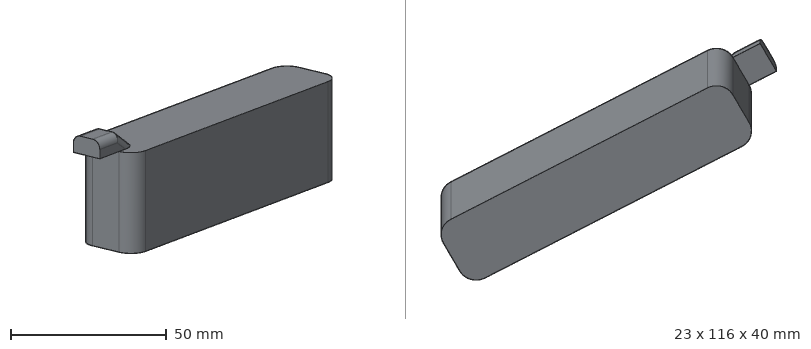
import cadquery as cq

total_length = 116.0
total_height = 40.0
body_width = 23.0

tab_height = 6.0
tab_overhang = 10.0
ramp_run = 8.0
tab_edge_radius = 2.9

corner_radius = 6.0
body_length = total_length - tab_overhang
body_height = total_height - tab_height
tab_width = body_width - 2 * corner_radius


def make_body():
    """Block with its front end at Y = 0 and rounded vertical corners."""
    return (
        cq.Workplane("XY")
        .box(body_width, body_length, body_height, centered=(True, False, False))
        .edges("|Z")
        .fillet(corner_radius)
    )


def make_tab():
    """Ramped tab, with both long upper edges rounded along the flat and the ramp."""
    side_outline = [
        (-tab_overhang, body_height),
        (ramp_run, body_height),
        (0, total_height),
        (-tab_overhang, total_height),
    ]
    tab = cq.Workplane("YZ").polyline(side_outline).close().extrude(tab_width / 2, both=True)
    upper_side_edges = tab.faces("<X or >X").edges("(not <Z) and (not <Y)")
    return tab.newObject(upper_side_edges.vals()).fillet(tab_edge_radius)


result = make_body().union(make_tab())